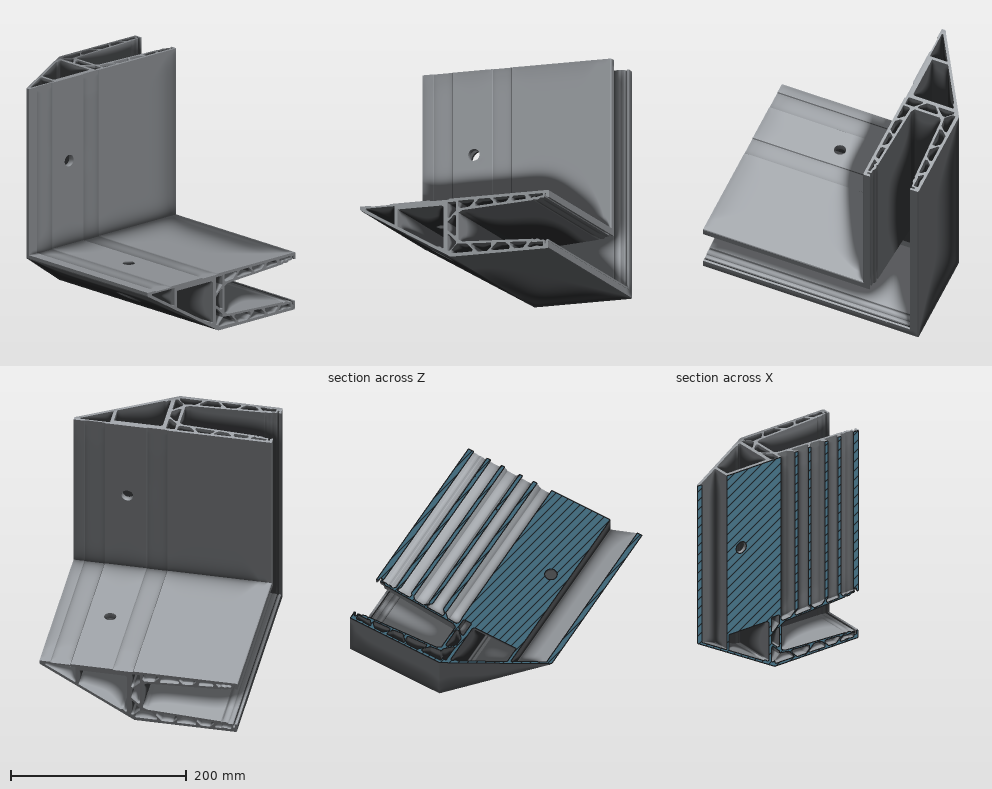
import cadquery as cq
import math

LEG = 266.0
DEPTH = 230.0
WIDTH = 68.0
SKIN = 3.2
WEB = 2.7
CLEARANCE = 2.7

SLOPE_START = 119.7
SLOPE_ANGLE = math.radians(60)
NOSE_START = 227.7
NOSE_BEVEL = 1.9

SLOT_CENTRE = 35.0
SLOT_MOUTH = 10.5
STEP_DEPTH = 10.5
BEAD_X = 11.2
BEAD_HEIGHT = 1.0
BEAD_START = 11.2
BEAD_END = 18.4
TAPER_START = (12.5, 19.5)
TAPER_END = (16.8, 105.3)
SLOT_FLOOR = 110.0
SLOT_FLOOR_CUT = 2.7

GROOVE_TOP = 3.2
GROOVE_BOTTOM = 5.3
GROOVE_X = 5.9
REAR_SETBACK = 0.8
REAR_CHAMFER = 0.8
LIP_X = 8.2
LIP_TOP = 0.5
LIP_EDGE = 0.8
LIP_HEEL = 1.5

RECESS_DEPTH = 1.0
RECESS_FLARE = 0.8
RECESSES = [(121.0, 145.2), (193.6, 217.5)]

CELL_FILLET = 1.0
ROW_TOP = 113.3
ROW_BOTTOM = 123.7
FRONT_WALL_X = 61.0
MAIN_TOP = 128.2
MAIN_BOTTOM = 184.5
MAIN_FILLET = 3.5
LOBE_X = 10.6
LOBE_END = 130.5
THICK_START = 133.0
THICK_END = 136.2
TIP_TOP = 188.3
TIP_BOTTOM = 223.5
TIP_X = 65.2
TIP_FILLET = 0.5

HOLE_DEPTH = 167.5
HOLE_HEIGHT = 167.5
SCREW_DIAMETER = 13.8
ACCESS_DIAMETER = 28.2


def place(points):
    return [(x, -depth) for x, depth in points]


def prism(points):
    return cq.Workplane("XY").polyline(place(points)).close().extrude(LEG)


def slope_x(depth, inset=0.0):
    """x of the sloped face at a depth, moved inwards by inset."""
    return (depth - SLOPE_START) / math.tan(SLOPE_ANGLE) + inset / math.sin(SLOPE_ANGLE)


def slot_side(depth):
    """x of the tapered slot side at a depth."""
    run = (depth - TAPER_START[1]) / (TAPER_END[1] - TAPER_START[1])
    return TAPER_START[0] + run * (TAPER_END[0] - TAPER_START[0])


def outer_body():
    body = prism([
        (0, REAR_SETBACK + REAR_CHAMFER),
        (REAR_CHAMFER, REAR_SETBACK),
        (LIP_X, REAR_SETBACK),
        (LIP_X, LIP_TOP),
        (SLOT_CENTRE, LIP_TOP),
        (SLOT_CENTRE, 0),
        (WIDTH - REAR_CHAMFER, 0),
        (WIDTH, REAR_CHAMFER),
        (WIDTH, DEPTH),
        (slope_x(NOSE_START) + NOSE_BEVEL, DEPTH),
        (slope_x(NOSE_START), DEPTH - NOSE_BEVEL),
        (slope_x(NOSE_START), NOSE_START),
        (0, SLOPE_START),
    ])
    for start, end in RECESSES:
        floor = WIDTH - RECESS_DEPTH
        body = body.cut(prism([
            (WIDTH, start),
            (WIDTH, end),
            (floor, end - RECESS_FLARE),
            (floor, start + RECESS_FLARE),
        ]))
    return body


def half_slot():
    bead_middle = (BEAD_X + BEAD_HEIGHT, -(BEAD_START + BEAD_END) / 2)
    return (
        cq.Workplane("XY")
        .moveTo(SLOT_CENTRE, CLEARANCE)
        .lineTo(SLOT_MOUTH, CLEARANCE)
        .lineTo(SLOT_MOUTH, -STEP_DEPTH)
        .lineTo(BEAD_X, -BEAD_START)
        .threePointArc(bead_middle, (BEAD_X, -BEAD_END))
        .lineTo(TAPER_START[0], -TAPER_START[1])
        .lineTo(TAPER_END[0], -TAPER_END[1])
        .lineTo(TAPER_END[0] + SLOT_FLOOR_CUT, -SLOT_FLOOR)
        .lineTo(SLOT_CENTRE, -SLOT_FLOOR)
        .close()
        .extrude(LEG)
    )


def slot():
    half = half_slot().union(prism([
        (GROOVE_X, GROOVE_TOP),
        (SLOT_CENTRE, GROOVE_TOP),
        (SLOT_CENTRE, GROOVE_BOTTOM + LIP_EDGE),
        (SLOT_MOUTH, GROOVE_BOTTOM + LIP_EDGE),
        (SLOT_MOUTH - LIP_EDGE, GROOVE_BOTTOM),
        (GROOVE_X, GROOVE_BOTTOM),
    ]))
    lip_x = 2 * SLOT_CENTRE - SLOT_MOUTH
    heel = prism([(lip_x, GROOVE_TOP), (lip_x, LIP_HEEL), (lip_x + LIP_HEEL, GROOVE_TOP)])
    return half.union(half.mirror("YZ", (SLOT_CENTRE, 0, 0))).union(heel)


def wall_cell(side, outer, top, bottom, cut_face, top_cut, bottom_cut):
    """Cell in a slot wall; two corners on its cut_face are bevelled at 45 degrees."""
    shift = 0 if side == "outer" else WIDTH - 2 * SLOT_CENTRE
    inner_top = slot_side(top) - WEB + shift
    inner_bottom = slot_side(bottom) - WEB + shift
    if cut_face == "outer":
        points = [
            (inner_top, top),
            (outer + top_cut, top),
            (outer, top + top_cut),
            (outer, bottom - bottom_cut),
            (outer + bottom_cut, bottom),
            (inner_bottom, bottom),
        ]
    else:
        points = [
            (outer, top),
            (inner_top - top_cut, top),
            (inner_top, top + top_cut),
            (inner_bottom, bottom - bottom_cut),
            (inner_bottom - bottom_cut, bottom),
            (outer, bottom),
        ]
    if side == "inner":
        points = [(WIDTH - x, depth) for x, depth in points]
    return points


def cell_outlines():
    inner_skin = WIDTH - SKIN
    return [
        [(SKIN, 7.2), (8.5, 7.2), (8.5, 19.7), (9.5, 21.5), (SKIN, 27.5),
         (SKIN, 19.2), (4.0, 18.0), (4.0, 12.8), (SKIN, 11.7)],
        [(inner_skin, 7.2), (62.0, 7.2), (62.0, 11.7), (61.0, 15.0), (62.0, 18.0), (59.8, 21.8),
         (inner_skin, 26.3)],
        wall_cell("outer", SKIN, 27.0, 47.5, "outer", 4.8, 5.0),
        wall_cell("outer", SKIN, 48.1, 70.5, "inner", 4.5, 7.2),
        wall_cell("outer", SKIN, 70.2, 94.7, "outer", 4.8, 7.0),
        wall_cell("outer", 4.0, 93.4, 119.0, "inner", 6.6, 7.0),
        wall_cell("inner", SKIN, 28.2, 45.2, "outer", 2.0, 1.9),
        wall_cell("inner", SKIN, 48.1, 67.8, "inner", 4.3, 4.5),
        wall_cell("inner", SKIN, 68.0, 90.2, "outer", 4.3, 4.5),
        wall_cell("inner", SKIN, 91.0, 110.7, "inner", 5.9, 2.5),
        [(14.4, ROW_TOP), (17.8, ROW_TOP), (26.5, 122.0), (26.5, ROW_BOTTOM),
         (7.2, ROW_BOTTOM), (7.2, 121.0)],
        [(24.2, ROW_TOP), (48.5, ROW_TOP), (48.5, 116.0), (41.0, ROW_BOTTOM),
         (31.0, ROW_BOTTOM), (24.2, 116.0)],
        [(53.2, ROW_TOP), (64.0, ROW_TOP), (64.0, ROW_BOTTOM), (45.8, ROW_BOTTOM), (45.8, 121.3)],
    ]


def main_chamber():
    """Front chamber; a rounded lobe at its rear corner leads into a thicker stretch of skin."""
    chamber = prism([
        (LOBE_X, MAIN_TOP),
        (FRONT_WALL_X, MAIN_TOP),
        (FRONT_WALL_X, MAIN_BOTTOM),
        (slope_x(MAIN_BOTTOM, SKIN), MAIN_BOTTOM),
        (slope_x(THICK_END, SKIN), THICK_END),
        (slope_x(THICK_END, SKIN), THICK_START),
        (LOBE_X, LOBE_END),
    ])
    chamber = chamber.edges("|Z and >X").edges(">Y").fillet(MAIN_FILLET)
    return chamber.edges("|Z and <X").fillet(CELL_FILLET)


def tip_chamber():
    chamber = prism([
        (slope_x(TIP_TOP, SKIN), TIP_TOP),
        (TIP_X, TIP_TOP),
        (TIP_X, TIP_BOTTOM),
        (slope_x(TIP_BOTTOM, SKIN), TIP_BOTTOM),
    ])
    return chamber.edges("|Z").fillet(TIP_FILLET)


def cross_hole(diameter, start_x, end_x):
    return (
        cq.Workplane("YZ", origin=(start_x, -HOLE_DEPTH, HOLE_HEIGHT))
        .circle(diameter / 2)
        .extrude(end_x - start_x)
    )


def upright_leg():
    leg = outer_body().cut(slot())
    for outline in cell_outlines():
        leg = leg.cut(prism(outline).edges("|Z").fillet(CELL_FILLET))
    leg = leg.cut(main_chamber()).cut(tip_chamber())
    chamber_middle = (slope_x(MAIN_BOTTOM) + FRONT_WALL_X) / 2
    leg = leg.cut(cross_hole(ACCESS_DIAMETER, 0, chamber_middle))
    leg = leg.cut(cross_hole(SCREW_DIAMETER, chamber_middle, WIDTH + CLEARANCE))
    below_mitre = (
        cq.Workplane("XZ", origin=(0, CLEARANCE, 0))
        .polyline([(0, 0), (LEG, 0), (LEG, LEG)])
        .close()
        .extrude(DEPTH + 2 * CLEARANCE)
    )
    return leg.cut(below_mitre)


upright = upright_leg()
level = upright.mirror((1, 0, -1))
result = upright.union(level)